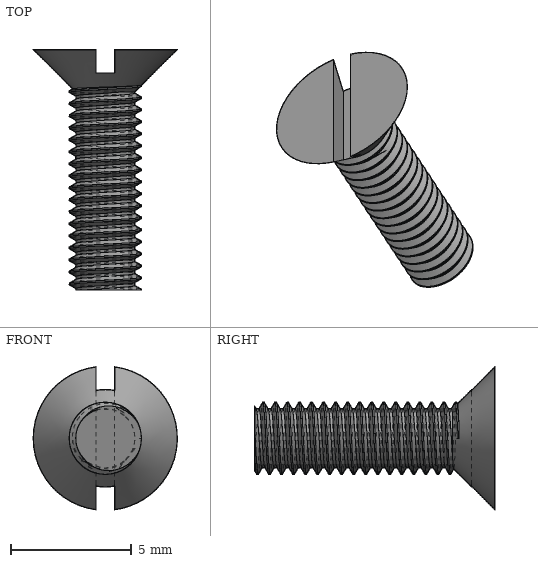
import cadquery as cq
import math

length = 10.0
head_diameter = 6.0
thread_diameter = 3.0
pitch = 0.5
slot_width = 0.77
slot_depth = 0.97

head_radius = head_diameter / 2
crest_radius = thread_diameter / 2
head_height = head_radius - crest_radius
shank_length = length - head_height

flank_slope = math.tan(math.radians(30))
crest_flat = pitch / 8
root_flat = pitch / 4
thread_depth = (pitch - crest_flat - root_flat) / 2 / flank_slope
root_radius = crest_radius - thread_depth
core_overlap = 0.03
seam_angle = 45.0


def make_blank():
    """Core and head cone about Z; the cone runs down to the thread root."""
    cone_bottom = length - (head_radius - root_radius)
    return (
        cq.Workplane("XZ")
        .polyline([(0, 0), (root_radius, 0), (root_radius, cone_bottom), (head_radius, length), (0, length)])
        .close()
        .revolve(360, (0, 0, 0), (0, 1, 0))
        .rotate((0, 0, 0), (0, 0, 1), seam_angle)
    )


def make_ridge():
    """Right-handed ridge about Z, started one pitch early and trimmed at the tip."""
    base_radius = root_radius - core_overlap
    half_crest = crest_flat / 2
    half_base = half_crest + (crest_radius - base_radius) * flank_slope
    start = -pitch
    path = cq.Wire.makeHelix(pitch, shank_length - start, crest_radius, center=cq.Vector(0, 0, start))
    ridge = (
        cq.Workplane("XZ")
        .polyline([
            (base_radius, start - half_base),
            (crest_radius, start - half_crest),
            (crest_radius, start + half_crest),
            (base_radius, start + half_base),
        ])
        .close()
        .sweep(cq.Workplane(path), isFrenet=True)
    )
    envelope = cq.Workplane("XY").circle(head_radius).extrude(length)
    return ridge.intersect(envelope)


def make_slot():
    """Driver slot across the head, open at both sides along Z."""
    slot_middle = length - slot_depth / 2
    return cq.Workplane("XY").box(slot_width, slot_depth, head_diameter).translate((0, slot_middle, 0))


screw = make_blank().union(make_ridge())
screw = screw.rotate((0, 0, 0), (1, 0, 0), -90)
result = screw.cut(make_slot())